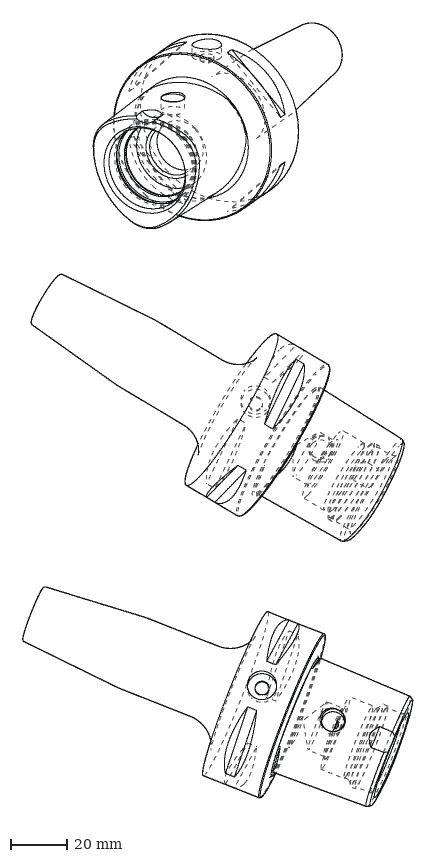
import cadquery as cq
import math

TOTAL_LENGTH = 138.0

FLANGE_DIAMETER = 63.0
FLANGE_RADIUS = FLANGE_DIAMETER / 2
FLANGE_WIDTH = 22.1
FLANGE_CHAMFER = 0.4
NECK_RADIUS = 13.5
NECK_FILLET = 12.0
NOSE_LENGTH = 38.1
NOSE_TIP_RADIUS = 10.5
NOSE_EDGE_FILLET = 0.8

SHANK_LENGTH = 38.0
LOBE_RADIUS = 13.0
LOBE_CENTRE_OFFSET = 10.5
SHANK_WIDTH = 44.2
SHANK_STRAIGHT = 2.1
SHANK_TAPER = 1 / 40
SHANK_CHAMFER_LENGTH = 1.2
SHANK_CHAMFER_RADIAL = 0.8
SIDE_DISTANCE = SHANK_WIDTH - LOBE_RADIUS - LOBE_CENTRE_OFFSET

BOSS_RADIUS = 24.3
BOSS_FILLET = 1.7
BOSS_HEIGHT = 0.8
RELIEF_END = 1.4

BORE_MOUTH_RADIUS = 16.3
BORE_MOUTH_DEPTH = 1.8
BORE_FRONT_RADIUS = 15.2
BORE_GROOVE_START = 7.7
BORE_GROOVE_END = 9.7
BORE_GROOVE_RADIUS = 15.9
BORE_CONE_END = 11.0
BORE_LIP_RADIUS = 13.7
BORE_LIP_END = 12.7
BORE_REAR_RADIUS = 14.0
BORE_DEPTH = 21.5
PILOT_RADIUS = 9.2
PILOT_CHAMFER = 1.0
PILOT_DEPTH = 6.9
DRILL_HALF_ANGLE = math.radians(59)

SHANK_HOLE_RADIUS = 4.1
SHANK_HOLE_MOUTH_RADIUS = 4.5
SHANK_HOLE_Y = -15.5
SHANK_HOLE_BOTTOM = 15.2
FLANGE_HOLE_Y = 11.9
FLANGE_HOLE_RADIUS = 5.2
FLANGE_HOLE_DEPTH = 4.7
FLANGE_PILOT_RADIUS = 2.5
FLANGE_PILOT_DEPTH = 1.4

KEYWAY_RADIUS = 5.8
KEYWAY_FLOOR = 18.0
KEYWAY_LENGTH = 6.2

SLOT_Y = 12.0
SLOT_FLOOR_DISTANCE = 27.7
SLOT_FLOOR_WIDTH = 3.5
SLOT_WALL_ANGLE = math.radians(30)


def drill_point_height(radius):
    return radius / math.tan(DRILL_HALF_ANGLE)


def revolve_about_axis(profile):
    """Turn a closed profile, drawn as (radius, Y), around the Y axis."""
    return profile.close().revolve(360, (0, 0, 0), (0, 1, 0))


def make_flange_and_nose():
    flange_corner = FLANGE_RADIUS - FLANGE_CHAMFER
    nose_start = TOTAL_LENGTH - SHANK_LENGTH - NOSE_LENGTH
    nose_end = TOTAL_LENGTH - SHANK_LENGTH
    profile = (
        cq.Workplane("XY")
        .lineTo(flange_corner, 0)
        .lineTo(FLANGE_RADIUS, FLANGE_CHAMFER)
        .lineTo(FLANGE_RADIUS, FLANGE_WIDTH)
        .lineTo(NECK_RADIUS + NECK_FILLET, FLANGE_WIDTH)
        .radiusArc((NECK_RADIUS, FLANGE_WIDTH + NECK_FILLET), NECK_FILLET)
        .lineTo(NECK_RADIUS, nose_start)
        .lineTo(NOSE_TIP_RADIUS, nose_end)
        .lineTo(0, nose_end)
    )
    return revolve_about_axis(profile).faces(">Y").edges().fillet(NOSE_EDGE_FILLET)


def shank_outline(y, inset):
    """Closed six-arc outline across the axis at Y = y, moved inward by inset."""
    lobe_radius = LOBE_RADIUS - inset
    side_distance = SIDE_DISTANCE - inset

    def polar(radius, degrees):
        angle = math.radians(degrees)
        return (radius * math.cos(angle), radius * math.sin(angle))

    def lobe_point(lobe_angle, turn):
        centre = polar(LOBE_CENTRE_OFFSET, lobe_angle)
        spoke = polar(lobe_radius, lobe_angle + turn)
        return (centre[0] + spoke[0], centre[1] + spoke[1])

    plane = cq.Plane(origin=(0, y, 0), xDir=(1, 0, 0), normal=(0, -1, 0))
    outline = cq.Workplane(plane).moveTo(*lobe_point(30, -30))
    for lobe_angle in (30, 150, 270):
        outline = outline.threePointArc(lobe_point(lobe_angle, 0), lobe_point(lobe_angle, 30))
        side_middle = polar(side_distance, lobe_angle + 60)
        outline = outline.threePointArc(side_middle, lobe_point(lobe_angle + 120, -30))
    return outline.close().val()


def loft_shank(*stations):
    wires = [shank_outline(y, inset) for y, inset in stations]
    return cq.Workplane(obj=cq.Solid.makeLoft(wires, True))


def make_shank():
    chamfer_start = SHANK_LENGTH - SHANK_CHAMFER_LENGTH
    chamfer_inset = (chamfer_start - SHANK_STRAIGHT) * SHANK_TAPER
    straight = loft_shank((0, 0), (-SHANK_STRAIGHT, 0))
    tapered = loft_shank((-SHANK_STRAIGHT, 0), (-chamfer_start, chamfer_inset))
    end = loft_shank(
        (-chamfer_start, chamfer_inset),
        (-SHANK_LENGTH, chamfer_inset + SHANK_CHAMFER_RADIAL),
    )

    lobe_reach = LOBE_CENTRE_OFFSET + LOBE_RADIUS
    neck_radius = BOSS_RADIUS - BOSS_FILLET
    trim = revolve_about_axis(
        cq.Workplane("XY")
        .lineTo(neck_radius, 0)
        .lineTo(neck_radius, -RELIEF_END)
        .lineTo(lobe_reach, -SHANK_STRAIGHT)
        .lineTo(0, -SHANK_STRAIGHT)
    )
    return straight.intersect(trim).union(tapered).union(end)


def make_boss():
    fillet_rise = BOSS_FILLET - BOSS_HEIGHT
    top_radius = BOSS_RADIUS - math.sqrt(BOSS_FILLET**2 - fillet_rise**2)
    profile = (
        cq.Workplane("XY")
        .lineTo(BOSS_RADIUS, 0)
        .radiusArc((top_radius, -BOSS_HEIGHT), -BOSS_FILLET)
        .lineTo(0, -BOSS_HEIGHT)
    )
    return revolve_about_axis(profile)


def make_bore():
    def at(radius, depth):
        return (radius, depth - SHANK_LENGTH)

    pilot_end = BORE_DEPTH + PILOT_DEPTH
    profile = cq.Workplane("XY").polyline([
        at(0, 0),
        at(BORE_MOUTH_RADIUS, 0),
        at(BORE_FRONT_RADIUS, BORE_MOUTH_DEPTH),
        at(BORE_FRONT_RADIUS, BORE_GROOVE_START),
        at(BORE_GROOVE_RADIUS, BORE_GROOVE_START),
        at(BORE_GROOVE_RADIUS, BORE_GROOVE_END),
        at(BORE_FRONT_RADIUS, BORE_GROOVE_END),
        at(BORE_LIP_RADIUS, BORE_CONE_END),
        at(BORE_LIP_RADIUS, BORE_LIP_END),
        at(BORE_REAR_RADIUS, BORE_LIP_END),
        at(BORE_REAR_RADIUS, BORE_DEPTH),
        at(PILOT_RADIUS + PILOT_CHAMFER, BORE_DEPTH),
        at(PILOT_RADIUS, BORE_DEPTH + PILOT_CHAMFER),
        at(PILOT_RADIUS, pilot_end),
        at(0, pilot_end + drill_point_height(PILOT_RADIUS)),
    ])
    return revolve_about_axis(profile)


def make_drilled_hole(radius, y, bottom, top):
    """Vertical hole from Z = top down to Z = bottom, ending in a drill point."""
    profile = cq.Workplane("XZ").polyline([
        (0, top),
        (radius, top),
        (radius, bottom),
        (0, bottom - drill_point_height(radius)),
    ])
    hole = profile.close().revolve(360, (0, 0, 0), (0, 1, 0))
    return hole.translate((0, y, 0))


def make_shank_hole():
    hole = make_drilled_hole(SHANK_HOLE_RADIUS, SHANK_HOLE_Y, SHANK_HOLE_BOTTOM, SIDE_DISTANCE)
    surface = SIDE_DISTANCE + (SHANK_HOLE_Y + SHANK_STRAIGHT) * SHANK_TAPER
    chamfer = SHANK_HOLE_MOUTH_RADIUS - SHANK_HOLE_RADIUS
    countersink = cq.Solid.makeCone(
        SHANK_HOLE_RADIUS,
        SHANK_HOLE_MOUTH_RADIUS + chamfer,
        2 * chamfer,
        pnt=cq.Vector(0, SHANK_HOLE_Y, surface - chamfer),
    )
    return hole.union(cq.Workplane(obj=countersink))


def make_flange_hole():
    floor = FLANGE_RADIUS - FLANGE_HOLE_DEPTH
    counterbore = (
        cq.Workplane("XY", origin=(0, FLANGE_HOLE_Y, floor))
        .circle(FLANGE_HOLE_RADIUS)
        .extrude(FLANGE_RADIUS - floor)
    )
    pilot_bottom = floor - FLANGE_PILOT_DEPTH
    return counterbore.union(
        make_drilled_hole(FLANGE_PILOT_RADIUS, FLANGE_HOLE_Y, pilot_bottom, floor)
    )


def make_keyway():
    """Round cutter lying along Y with a 45 degree point."""
    keyway_end = KEYWAY_LENGTH - SHANK_LENGTH
    cutter = revolve_about_axis(
        cq.Workplane("XY").polyline([
            (0, -SHANK_LENGTH),
            (KEYWAY_RADIUS, -SHANK_LENGTH),
            (KEYWAY_RADIUS, keyway_end),
            (0, keyway_end + KEYWAY_RADIUS),
        ])
    )
    return cutter.translate((0, 0, KEYWAY_FLOOR + KEYWAY_RADIUS))


def make_gripper_slot():
    """Slot across the +X side of the flange, open outward."""
    half_floor = SLOT_FLOOR_WIDTH / 2
    depth = FLANGE_RADIUS - SLOT_FLOOR_DISTANCE
    half_mouth = half_floor + depth * math.tan(SLOT_WALL_ANGLE)
    return (
        cq.Workplane("XY")
        .polyline([
            (SLOT_FLOOR_DISTANCE, SLOT_Y - half_floor),
            (FLANGE_RADIUS, SLOT_Y - half_mouth),
            (FLANGE_RADIUS, SLOT_Y + half_mouth),
            (SLOT_FLOOR_DISTANCE, SLOT_Y + half_floor),
        ])
        .close()
        .extrude(FLANGE_RADIUS, both=True)
    )


body = make_flange_and_nose().union(make_boss()).union(make_shank())
body = body.cut(make_bore())
body = body.cut(make_shank_hole())
body = body.cut(make_flange_hole())
body = body.cut(make_keyway())
for slot_angle in (45, 135, 225, 315):
    body = body.cut(make_gripper_slot().rotate((0, 0, 0), (0, 1, 0), slot_angle))

result = body